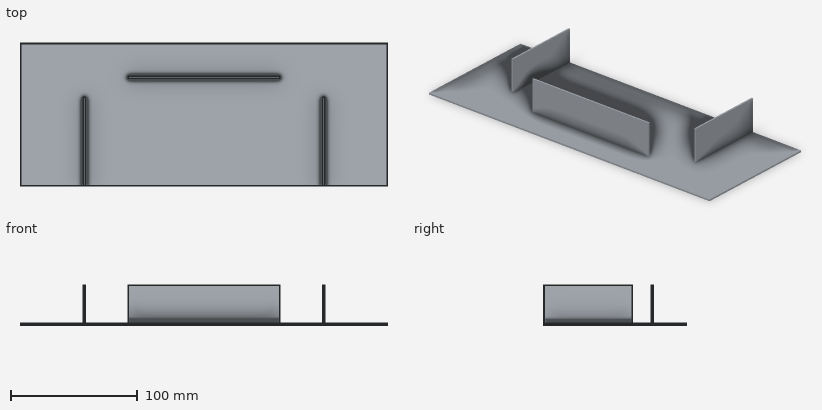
import cadquery as cq

plate_length = 290.0
plate_width = 112.5
sheet_thickness = 1.5

wall_height = 30.0
rear_wall_length = 120.0
rear_wall_setback = 26.0
side_wall_length = 70.0
side_wall_spacing = 189.0

plate_front = -plate_width / 2
plate_rear = plate_width / 2


def upright_wall(size_x, size_y, center_x, center_y):
    """Rectangular wall standing on the top face of the plate."""
    wall = cq.Workplane("XY").box(size_x, size_y, wall_height, centered=(True, True, False))
    return wall.translate((center_x, center_y, sheet_thickness))


def base_plate():
    return cq.Workplane("XY").box(
        plate_length, plate_width, sheet_thickness, centered=(True, True, False)
    )


def rear_wall():
    center_y = plate_rear - rear_wall_setback - sheet_thickness / 2
    return upright_wall(rear_wall_length, sheet_thickness, 0, center_y)


def side_wall(side):
    """Wall running back from the front edge; side is -1 (left) or +1 (right)."""
    center_x = side * side_wall_spacing / 2
    center_y = plate_front + side_wall_length / 2
    return upright_wall(sheet_thickness, side_wall_length, center_x, center_y)


result = base_plate().union(rear_wall())
for side in (-1, 1):
    result = result.union(side_wall(side))